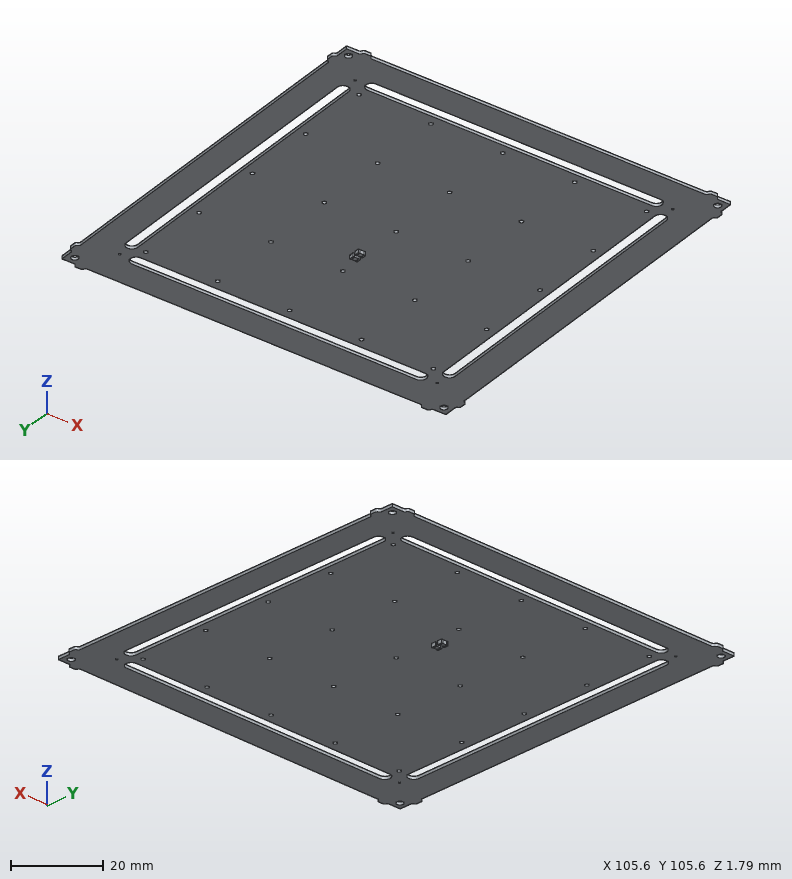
import cadquery as cq
import math

overall_size = 105.6
plate_thickness = 0.8

tab_projection = 0.8
tab_width = 2.4
tab_offset = 46.9
tab_flank_radius = 0.6

slot_offset = 43.0
slot_length = 80.0
slot_width = 3.1

corner_hole_diameter = 1.8
corner_hole_offset = 50.0
marker_hole_diameter = 0.5
grid_hole_diameter = 1.0
grid_span = 77.8
grid_count = 5

chip_length = 2.0
chip_width = 1.3
chip_height = 0.99
terminal_length = 0.4
chip_recess = 0.05
chip_pitch = 1.9
chip_pair_x = -1.6
chip_pair_y = 11.9

grid_pitch = grid_span / (grid_count - 1)
plate_size = overall_size - 2 * tab_projection
chip_middle_length = chip_length - 2 * terminal_length


def square_corners(offset):
    """Four points at the corners of a centred square."""
    return [(x, y) for x in (-offset, offset) for y in (-offset, offset)]


def four_sides(solid):
    """Combine a solid with its copies turned onto the other three sides of the plate."""
    combined = solid
    for quarter_turn in (90, 180, 270):
        combined = combined.union(solid.rotate((0, 0, 0), (0, 0, 1), quarter_turn))
    return combined


def make_tab(center_x):
    """One bump on the +Y edge; each flank is a concave arc followed by a convex arc."""
    arc_rise = tab_projection / 2
    arc_run = math.sqrt(tab_flank_radius**2 - (tab_flank_radius - arc_rise) ** 2)
    half_middle = tab_width / 2
    half_base = half_middle + arc_run
    half_top = half_middle - arc_run
    base_y = plate_size / 2
    middle_y = base_y + arc_rise
    top_y = base_y + tab_projection
    root_y = base_y - tab_projection
    return (
        cq.Workplane("XY")
        .moveTo(center_x - half_base, root_y)
        .lineTo(center_x - half_base, base_y)
        .radiusArc((center_x - half_middle, middle_y), -tab_flank_radius)
        .radiusArc((center_x - half_top, top_y), tab_flank_radius)
        .lineTo(center_x + half_top, top_y)
        .radiusArc((center_x + half_middle, middle_y), tab_flank_radius)
        .radiusArc((center_x + half_base, base_y), -tab_flank_radius)
        .lineTo(center_x + half_base, root_y)
        .close()
        .extrude(plate_thickness)
    )


def make_slots():
    slot = cq.Workplane("XY").center(0, slot_offset).slot2D(slot_length, slot_width).extrude(plate_thickness)
    return four_sides(slot)


def make_plate():
    plate = cq.Workplane("XY").rect(plate_size, plate_size).extrude(plate_thickness)
    for center_x in (-tab_offset, tab_offset):
        plate = plate.union(four_sides(make_tab(center_x)))
    plate = plate.cut(make_slots())

    top = plate.faces(">Z").workplane(origin=(0, 0, plate_thickness))
    plate = top.pushPoints(square_corners(corner_hole_offset)).hole(corner_hole_diameter)
    top = plate.faces(">Z").workplane(origin=(0, 0, plate_thickness))
    plate = top.pushPoints(square_corners(slot_offset)).hole(marker_hole_diameter)
    top = plate.faces(">Z").workplane(origin=(0, 0, plate_thickness))
    return top.rarray(grid_pitch, grid_pitch, grid_count, grid_count).hole(grid_hole_diameter)


def make_chip(center_y):
    """A chip hanging from the plate: two full-section terminals and a recessed middle."""
    base = cq.Workplane("XY", origin=(chip_pair_x, center_y, 0))
    middle_width = chip_width - 2 * chip_recess
    middle = base.rect(chip_middle_length, middle_width).extrude(chip_recess - chip_height)
    terminal_spacing = chip_middle_length + terminal_length
    terminals = base.rarray(terminal_spacing, 1.1, 2, 1).rect(terminal_length, chip_width).extrude(-chip_height)
    return middle.union(terminals)


plate = make_plate()
chips = [make_chip(chip_pair_y + side * chip_pitch / 2) for side in (-1, 1)]

result = cq.Compound.makeCompound([plate.val(), *[chip.val() for chip in chips]])